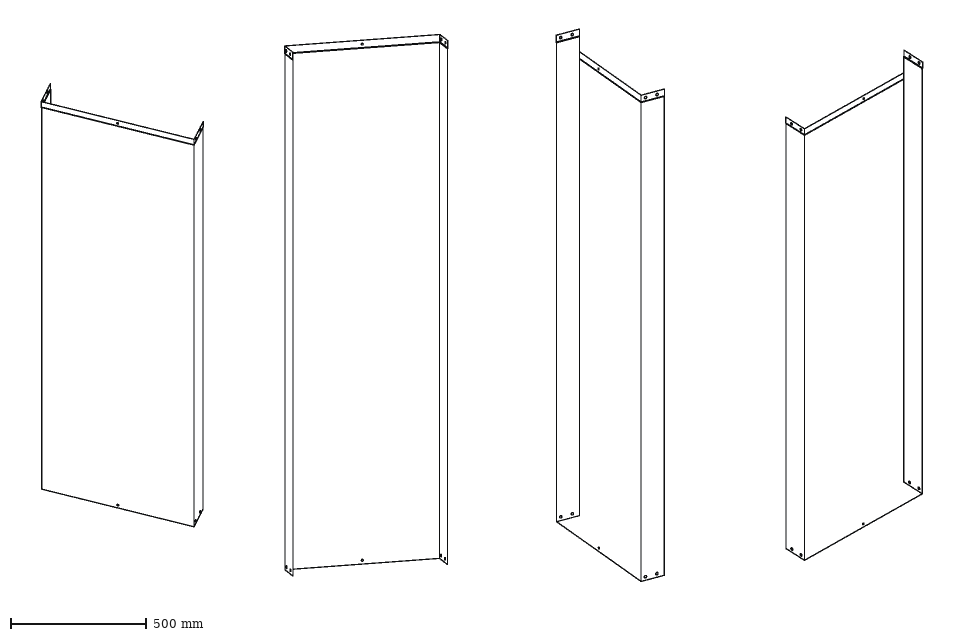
import cadquery as cq

width = 602.0
depth = 102.0
height = 1999.0
sheet = 1.0

lap_height = 28.0
joggle_height = 3.0
body_inset = sheet
lap_inset = body_inset - sheet

front_hole_diameter = 7.0
side_hole_diameter = 10.0
top_hole_drop = 15.0
bottom_hole_rise = 15.0
front_hole_setback = 20.0
hole_pitch = 50.0

lap_bottom = height - lap_height
joggle_bottom = lap_bottom - joggle_height
front_y = -depth / 2
back_y = depth / 2


def channel_profile(inset):
    """U-shaped sheet section, open toward +Y, with its outer faces moved in by inset."""
    outer_x = width / 2 - inset
    inner_x = outer_x - sheet
    outer_y = front_y + inset
    inner_y = outer_y + sheet
    return [
        (-outer_x, back_y),
        (-outer_x, outer_y),
        (outer_x, outer_y),
        (outer_x, back_y),
        (inner_x, back_y),
        (inner_x, inner_y),
        (-inner_x, inner_y),
        (-inner_x, back_y),
    ]


def straight_channel(inset, bottom, top):
    section = cq.Workplane("XY").workplane(offset=bottom)
    return section.polyline(channel_profile(inset)).close().extrude(top - bottom)


def joggle():
    """Sloped band that leads from the main channel out to the lap."""
    section = cq.Workplane("XY").workplane(offset=joggle_bottom)
    section = section.polyline(channel_profile(body_inset)).close()
    section = section.workplane(offset=joggle_height)
    return section.polyline(channel_profile(lap_inset)).close().loft(ruled=True)


def side_holes(z):
    """Two holes drilled through both side walls."""
    first_y = front_y + front_hole_setback
    centers = [(first_y, z), (first_y + hole_pitch, z)]
    plane = cq.Workplane("YZ").pushPoints(centers)
    return plane.circle(side_hole_diameter / 2).extrude(width, both=True)


def front_hole(z):
    """One hole on the centerline of the front wall."""
    plane = cq.Workplane("XZ").center(0, z)
    return plane.circle(front_hole_diameter / 2).extrude(depth)


result = straight_channel(body_inset, 0, joggle_bottom)
result = result.union(joggle())
result = result.union(straight_channel(lap_inset, lap_bottom, height))

for hole_z in (bottom_hole_rise, height - top_hole_drop):
    result = result.cut(side_holes(hole_z))
    result = result.cut(front_hole(hole_z))